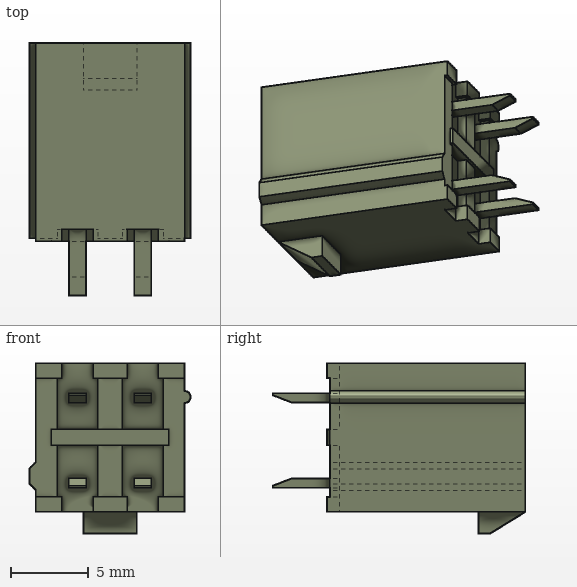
import cadquery as cq

total_length = 16.3
housing_width = 9.6
housing_height = 9.6
housing_length = 12.8
half_width = housing_width / 2
half_height = housing_height / 2

pad_height = 0.98
pad_step = 0.2
pocket_depth = 0.8
pocket_width = 2.62
notch_width = 2.0
contact_pitch_x = 4.2

bar_width = 7.58
bar_height = 1.03

pin_width = 1.11
pin_thickness = 0.6
pin_tip_thickness = 0.13
pin_taper_length = 1.22
pin_row_pitch = 5.5
pin_rows_center_z = -0.2

left_rib_height = 0.4
left_rib_flat = 0.98
left_rib_center_z = -2.5
right_rib_radius = 0.39
right_rib_center_z = 2.6

latch_width = 3.45
latch_height = 1.4
latch_length = 3.03
latch_flat_length = 0.75

back_y = total_length / 2
tip_y = -total_length / 2
pad_y = back_y - housing_length
face_y = pad_y + pad_step
pocket_floor_y = pad_y + pocket_depth

contact_columns = (-contact_pitch_x / 2, contact_pitch_x / 2)
between_pads_height = housing_height - 2 * pad_height


def block(width, height, y_start, y_end, x=0.0, z=0.0):
    """Box centred on (x, z) that runs from y_start to y_end."""
    length = y_end - y_start
    return cq.Workplane("XY").box(width, length, height).translate((x, y_start + length / 2, z))


def extrude_along_x(points, width, x=0.0):
    """Prism from a (y, z) outline, centred on x."""
    return cq.Workplane("YZ", origin=(x, 0, 0)).polyline(points).close().extrude(width / 2, both=True)


def make_housing():
    housing = block(housing_width, housing_height, pad_y, back_y)
    housing = housing.cut(block(housing_width, between_pads_height, pad_y, face_y))
    for x in contact_columns:
        housing = housing.cut(block(pocket_width, between_pads_height, pad_y, pocket_floor_y, x))
        housing = housing.cut(block(notch_width, housing_height, pad_y, pocket_floor_y, x))
    return housing.union(block(bar_width, bar_height, pad_y, pocket_floor_y))


def make_left_rib():
    """Trapezoidal rib with 45-degree flanks on the -X side."""
    outer_x = -half_width - left_rib_height
    half_flat = left_rib_flat / 2
    half_base = half_flat + left_rib_height
    outline = [
        (-half_width, left_rib_center_z - half_base),
        (outer_x, left_rib_center_z - half_flat),
        (outer_x, left_rib_center_z + half_flat),
        (-half_width, left_rib_center_z + half_base),
    ]
    profile = cq.Workplane("XZ", origin=(0, back_y, 0)).polyline(outline).close()
    return profile.extrude(back_y - face_y)


def make_right_rib():
    """Half-round rib on the +X side."""
    profile = (
        cq.Workplane("XZ", origin=(half_width, back_y, right_rib_center_z))
        .moveTo(0, -right_rib_radius)
        .threePointArc((right_rib_radius, 0), (0, right_rib_radius))
        .close()
    )
    return profile.extrude(back_y - face_y)


def make_latch():
    """Latch with a ramp that rises to the rear edge of the housing."""
    front_y = back_y - latch_length
    bottom_z = -half_height - latch_height
    outline = [
        (back_y, -half_height),
        (front_y, -half_height),
        (front_y, bottom_z),
        (front_y + latch_flat_length, bottom_z),
    ]
    return extrude_along_x(outline, latch_width)


def make_pin(x, side):
    """Pin in the upper (side = 1) or lower (side = -1) row; its taper faces the other row."""
    center_z = pin_rows_center_z + side * pin_row_pitch / 2
    outer_z = center_z + side * pin_thickness / 2
    inner_z = center_z - side * pin_thickness / 2
    outline = [
        (pocket_floor_y, outer_z),
        (tip_y, outer_z),
        (tip_y, outer_z - side * pin_tip_thickness),
        (tip_y + pin_taper_length, inner_z),
        (pocket_floor_y, inner_z),
    ]
    return extrude_along_x(outline, pin_width, x)


result = make_housing().union(make_left_rib()).union(make_right_rib()).union(make_latch())
for column_x in contact_columns:
    for row_side in (-1, 1):
        result = result.union(make_pin(column_x, row_side))